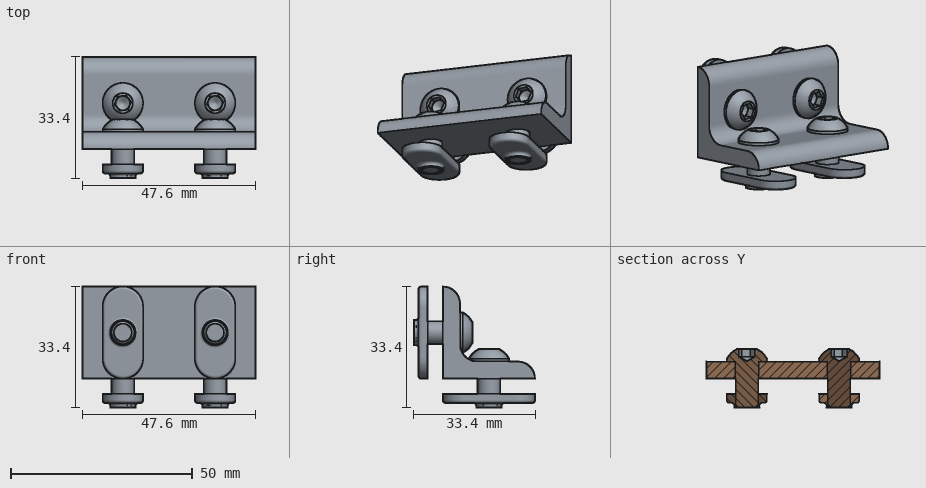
import cadquery as cq
import math

bracket_length = 47.6
leg_length = 25.4
wall = 4.75
corner_radius = wall

fastener_pitch = leg_length
leg_middle = leg_length / 2
fastener_xs = [-fastener_pitch / 2, fastener_pitch / 2]

shank_diameter = 6.35
head_diameter = 11.15
head_rim_height = 0.75
head_height = 3.45
head_flat_diameter = 5.55
tip_chamfer = 0.7
socket_across_flats = 3.95
socket_depth = 2.2
socket_cone_depth = 1.15
socket_turn = 7.5

plate_gap = 4.2
plate_thickness = 2.52
plate_length = leg_length
plate_width = 11.15
plate_edge_radius = 0.8
collar_diameter = 7.0
collar_height = 1.25
collar_fillet = 0.7

plate_top = -plate_gap
plate_bottom = plate_top - plate_thickness
fastener_tip = plate_bottom - collar_height


def on_bottom_leg(body, x):
    """Place a fastener body, built upright on the outer face, on the horizontal leg."""
    return body.translate((x, leg_middle, 0))


def on_front_leg(body, x):
    """Place a fastener body on the upright leg, with its axis turned to point along +Y."""
    return body.rotate((0, 0, 0), (1, 0, 0), -90).translate((x, 0, leg_middle))


placements = [(place, x) for place in (on_bottom_leg, on_front_leg) for x in fastener_xs]


def make_screw_space():
    """Shank hole through the leg, and the seat that lets the head rim into the inner fillet."""
    hole = cq.Workplane("XY").circle(shank_diameter / 2).extrude(wall)
    seat = cq.Workplane("XY", origin=(0, 0, wall)).circle(head_diameter / 2).extrude(head_rim_height)
    return hole.union(seat)


def make_bracket():
    profile = (
        cq.Workplane("YZ", origin=(-bracket_length / 2, 0, 0))
        .lineTo(leg_length, 0)
        .radiusArc((leg_length - corner_radius, wall), -corner_radius)
        .lineTo(wall + corner_radius, wall)
        .radiusArc((wall, wall + corner_radius), corner_radius)
        .lineTo(wall, leg_length - corner_radius)
        .radiusArc((0, leg_length), -corner_radius)
        .close()
    )
    bracket = profile.extrude(bracket_length)
    for place, x in placements:
        bracket = bracket.cut(place(make_screw_space(), x))
    return bracket


def make_socket():
    """Hexagonal socket with a conical bottom, open at the head's flat top."""
    across_corners = socket_across_flats / math.cos(math.pi / 6)
    floor = wall + head_height - socket_depth
    hexagon = cq.Workplane("XY", origin=(0, 0, floor)).polygon(6, across_corners).extrude(socket_depth)
    cone = cq.Workplane(cq.Solid.makeCone(
        socket_across_flats / 2, 0, socket_cone_depth, cq.Vector(0, 0, floor), cq.Vector(0, 0, -1)
    ))
    return hexagon.union(cone).rotate((0, 0, 0), (0, 0, 1), socket_turn)


def make_screw():
    head_radius = head_diameter / 2
    flat_radius = head_flat_diameter / 2
    shank_radius = shank_diameter / 2
    rim_top = wall + head_rim_height
    head_top = wall + head_height

    dome_rise = head_height - head_rim_height
    centre_drop = (head_radius**2 - flat_radius**2 - dome_rise**2) / (2 * dome_rise)
    dome_radius = math.hypot(head_radius, centre_drop)

    profile = (
        cq.Workplane("XZ")
        .moveTo(0, fastener_tip)
        .lineTo(shank_radius - tip_chamfer, fastener_tip)
        .lineTo(shank_radius, fastener_tip + tip_chamfer)
        .lineTo(shank_radius, wall)
        .lineTo(head_radius, wall)
        .lineTo(head_radius, rim_top)
        .radiusArc((flat_radius, head_top), -dome_radius)
        .lineTo(0, head_top)
        .close()
    )
    return profile.revolve(360, (0, 0, 0), (0, 1, 0)).cut(make_socket())


def make_plate():
    plate = (
        cq.Workplane("XY", origin=(0, 0, plate_bottom))
        .slot2D(plate_length, plate_width, 90)
        .extrude(plate_thickness)
        .faces("<Z")
        .edges()
        .fillet(plate_edge_radius)
    )

    collar_radius = collar_diameter / 2
    collar = (
        cq.Workplane("XZ")
        .moveTo(0, fastener_tip)
        .lineTo(collar_radius, fastener_tip)
        .lineTo(collar_radius, plate_bottom - collar_fillet)
        .radiusArc((collar_radius + collar_fillet, plate_bottom), collar_fillet)
        .lineTo(0, plate_bottom)
        .close()
        .revolve(360, (0, 0, 0), (0, 1, 0))
    )
    hole_depth = plate_thickness + collar_height
    hole = cq.Workplane("XY", origin=(0, 0, fastener_tip)).circle(shank_diameter / 2).extrude(hole_depth)
    return plate.union(collar).cut(hole)


bracket = make_bracket()
screws = [place(make_screw(), x).solids().val() for place, x in placements]
plates = [place(make_plate(), x).solids().val() for place, x in placements]

result = cq.Compound.makeCompound([bracket.solids().val(), *screws, *plates])